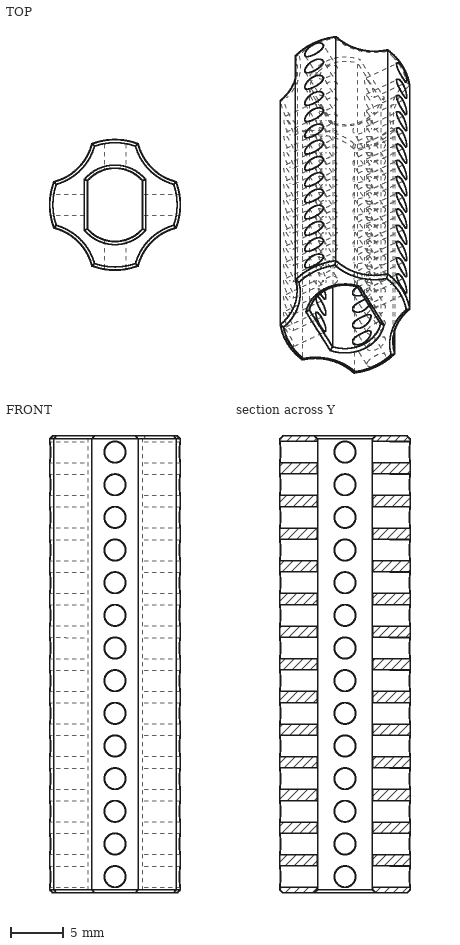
import cadquery as cq
import math

length = 43.75
outer_diameter = 12.5
lobe_count = 4
lobe_width = 4.4
flute_floor_radius = 5.0
bore_diameter = 7.0
bore_flat_width = 5.25
edge_chamfer = 0.3
hole_diameter = 2.0
holes_per_row = 14

outer_radius = outer_diameter / 2
lobe_spacing = 360 / lobe_count
bore_radius = bore_diameter / 2
bore_half_flat = bore_flat_width / 2
bore_corner_y = math.sqrt(bore_radius**2 - bore_half_flat**2)
hole_pitch = length / holes_per_row


def polar(radius, degrees):
    """Point at the given distance and angle around the axis."""
    angle = math.radians(degrees)
    return (radius * math.cos(angle), radius * math.sin(angle))


def make_body():
    """Prism with four lobes, each followed by a concave flute on the diagonal."""
    lobe_half_angle = math.degrees(math.asin(lobe_width / 2 / outer_radius))
    outline = cq.Workplane("XY").moveTo(*polar(outer_radius, -lobe_half_angle))
    for i in range(lobe_count):
        lobe_angle = i * lobe_spacing
        crest = polar(outer_radius, lobe_angle)
        lobe_end = polar(outer_radius, lobe_angle + lobe_half_angle)
        flute_floor = polar(flute_floor_radius, lobe_angle + lobe_spacing / 2)
        next_lobe_start = polar(outer_radius, lobe_angle + lobe_spacing - lobe_half_angle)
        outline = outline.threePointArc(crest, lobe_end)
        outline = outline.threePointArc(flute_floor, next_lobe_start)
    return outline.close().extrude(length)


def make_bore():
    """Round bore narrowed by two flats facing along X."""
    return (
        cq.Workplane("XY")
        .moveTo(bore_half_flat, -bore_corner_y)
        .lineTo(bore_half_flat, bore_corner_y)
        .threePointArc((0, bore_radius), (-bore_half_flat, bore_corner_y))
        .lineTo(-bore_half_flat, -bore_corner_y)
        .threePointArc((0, -bore_radius), (bore_half_flat, -bore_corner_y))
        .close()
        .extrude(length)
    )


def make_hole_row(plane):
    """Evenly spaced cross holes through the whole part, normal to the given plane."""
    centers = [(0, (i + 0.5) * hole_pitch) for i in range(holes_per_row)]
    return (
        cq.Workplane(plane)
        .pushPoints(centers)
        .circle(hole_diameter / 2)
        .extrude(outer_radius, both=True)
    )


tube = make_body().cut(make_bore())

tube = tube.faces("<Z or >Z").edges().chamfer(edge_chamfer)

result = tube.cut(make_hole_row("XZ")).cut(make_hole_row("YZ"))